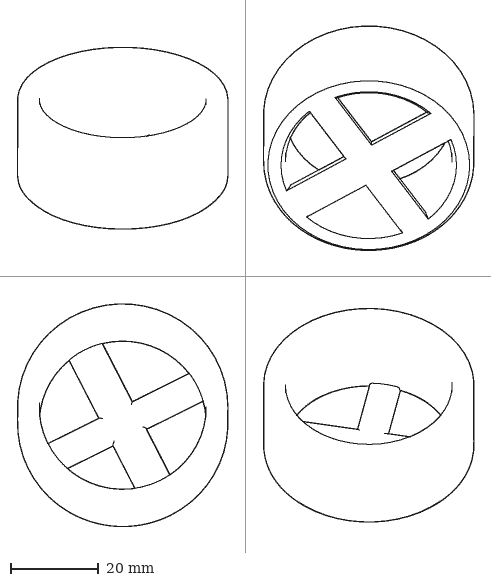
import cadquery as cq

outer_diameter = 48.0
bore_diameter = 38.0
height = 22.0
rim_radius = 1.0
foot_chamfer = 1.0
foot_round = 1.0

x_bar_width = 8.5
y_bar_width = 7.0
bar_thickness = 2.0
bar_edge_radius = 0.7


def make_ring():
    """Ring with rounded top rims; its foot is chamfered inside and outside, blended into the walls."""
    ring = cq.Workplane("XY").circle(outer_diameter / 2).circle(bore_diameter / 2).extrude(height)
    ring = ring.faces("<Z").edges().chamfer(foot_chamfer)
    chamfer_top_zone = cq.selectors.BoxSelector(
        (-outer_diameter, -outer_diameter, foot_chamfer / 2),
        (outer_diameter, outer_diameter, foot_chamfer * 3 / 2),
    )
    ring = ring.edges("%CIRCLE").edges(chamfer_top_zone).fillet(foot_round)
    return ring.faces(">Z").edges().fillet(rim_radius)


def make_bar(size_x, size_y):
    """Plain flat bar centred on the ring axis, standing on the base plane."""
    return cq.Workplane("XY").box(size_x, size_y, bar_thickness, centered=(True, True, False))


def make_cross():
    """Two crossing bars with rounded upper edges, long enough to end inside the ring wall."""
    bar_length = (outer_diameter + bore_diameter) / 2
    cross = make_bar(bar_length, x_bar_width).union(make_bar(y_bar_width, bar_length))
    return cross.faces(">Z").edges().fillet(bar_edge_radius)


result = make_ring().union(make_cross())